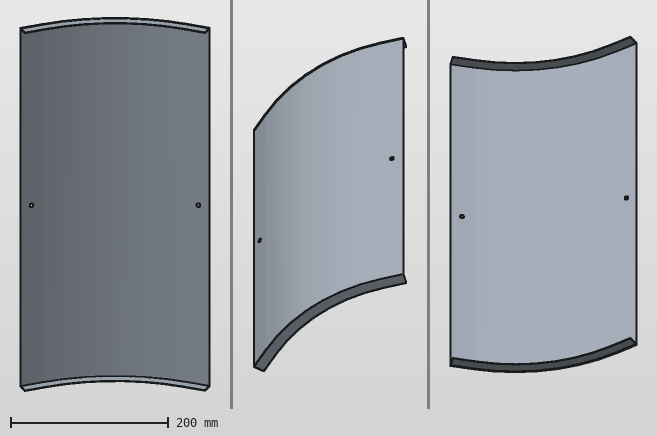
import cadquery as cq
import math

height = 502.0
outer_radius = 240.5
bend_angle = 45.0
straight_length = 30.0
sheet_thickness = 1.0
flange_width = 15.0
hole_diameter = 5.0

slant = math.radians(bend_angle)
along = (math.sin(slant), math.cos(slant))
inward = (math.cos(slant), -math.sin(slant))
hole_distance = straight_length / 2


def curve_point(depth, angle):
    """Point on the arc lying the given depth inside the convex face."""
    radius = outer_radius - depth
    return (
        outer_radius - radius * math.cos(angle),
        straight_length + radius * math.sin(angle),
    )


def slant_point(depth, distance):
    """Point on the slanted strip, a distance beyond the end of the arc."""
    x, y = curve_point(depth, slant)
    return (x + distance * along[0], y + distance * along[1])


def curved_band(width, band_height, base_z):
    """Straight-arc-straight band of constant width, extruded upward."""
    return (
        cq.Workplane("XY", origin=(0, 0, base_z))
        .moveTo(0, 0)
        .lineTo(*curve_point(0, 0))
        .threePointArc(curve_point(0, slant / 2), curve_point(0, slant))
        .lineTo(*slant_point(0, straight_length))
        .lineTo(*slant_point(width, straight_length))
        .lineTo(*curve_point(width, slant))
        .threePointArc(curve_point(width, slant / 2), curve_point(width, 0))
        .lineTo(width, 0)
        .close()
        .extrude(band_height)
    )


def hole_cutter(position, direction):
    """Cylinder passing squarely through the sheet at mid height."""
    start = cq.Vector(*position, height / 2)
    axis = cq.Vector(*direction, 0)
    return cq.Workplane(
        cq.Solid.makeCylinder(
            hole_diameter / 2, 2 * flange_width, start - axis * flange_width, axis
        )
    )


sheet = curved_band(sheet_thickness, height, 0)
bottom_flange = curved_band(flange_width, sheet_thickness, 0)
top_flange = curved_band(flange_width, sheet_thickness, height - sheet_thickness)
result = sheet.union(bottom_flange).union(top_flange)

result = result.cut(hole_cutter((0, hole_distance), (1, 0)))
result = result.cut(hole_cutter(slant_point(0, hole_distance), inward))